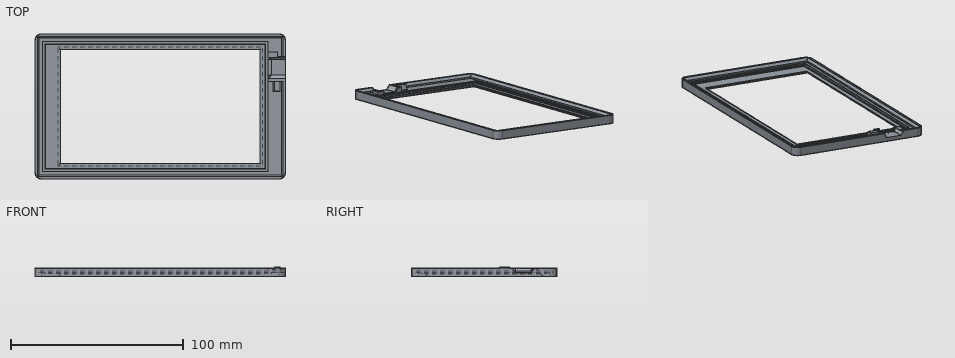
import cadquery as cq

length = 145.2
width = 84.2
wall_height = 5.0
corner_radius = 3.9
wall_thickness = 1.5
wall_foot = 2.5
slope_level = 3.3
floor_level = 2.5

seat_margin = 4.4
seat_right = 62.6
seat_level = 2.2
seat_rim = 1.5
recess_slope = 0.5
recess_level = 1.7
window_length = 115.6
window_width = 66.0
lip_thickness = 0.3

opening_front = 16.3
opening_back = 29.0
opening_slope = 1.9
opening_level = 2.3
strip_level = 1.7

rib_thickness = 1.7
stop_length = 5.2
stop_thickness = 2.5
stop_height = 4.0

latch_left = 65.4
latch_right = 69.3
latch_front = 8.5
latch_height = 5.5
latch_left_slope = 0.9
latch_front_slope = 0.5

right = length / 2
rib_front = opening_front - rib_thickness


def box(x_min, x_max, y_min, y_max, z_min, z_max):
    """Box given by its limits along each axis."""
    size = (x_max - x_min, y_max - y_min, z_max - z_min)
    return cq.Workplane("XY").box(*size, centered=False).translate((x_min, y_min, z_min))


def rectangle(x_min, x_max, y_min, y_max, z):
    """Closed rectangular wire at height z."""
    corners = [(x_min, y_min), (x_max, y_min), (x_max, y_max), (x_min, y_max)]
    return cq.Wire.makePolygon([cq.Vector(x, y, z) for x, y in corners], close=True)


def loft(lower, upper):
    """Solid with flat sloping sides between two rectangles."""
    return cq.Workplane(obj=cq.Solid.makeLoft([lower, upper], True))


def centred_rectangle(x_size, y_size, z):
    """Rectangle centred on the tray."""
    return rectangle(-x_size / 2, x_size / 2, -y_size / 2, y_size / 2, z)


def inset_rectangle(margin, z):
    """Rectangle a constant distance inside the tray outline."""
    return centred_rectangle(length - 2 * margin, width - 2 * margin, z)


def seat_rectangle(inset, z):
    """Rectangle a constant distance inside the display seat."""
    y = width / 2 - seat_margin - inset
    return rectangle(seat_margin + inset - length / 2, seat_right - inset, -y, y, z)


def tray():
    blank = cq.Workplane("XY").box(length, width, wall_height, centered=(True, True, False))
    blank = blank.edges("|Z").fillet(corner_radius)
    foot = loft(inset_rectangle(wall_foot, floor_level), inset_rectangle(wall_foot, slope_level))
    slope = loft(inset_rectangle(wall_foot, slope_level), inset_rectangle(wall_thickness, wall_height))
    return blank.cut(foot).cut(slope)


def display_seat():
    seat = loft(seat_rectangle(0, seat_level), seat_rectangle(0, floor_level))
    recess = loft(
        seat_rectangle(seat_rim + recess_slope, recess_level), seat_rectangle(seat_rim, seat_level)
    )
    window = cq.Workplane("XY").rect(window_length, window_width).extrude(wall_height)
    bevel = recess_level - lip_thickness
    flare = loft(
        centred_rectangle(window_length + 2 * bevel, window_width + 2 * bevel, 0),
        centred_rectangle(window_length, window_width, bevel),
    )
    return seat.union(recess).union(window).union(flare)


def ribs():
    """Front rib, back sill and the stop joined to the sill, before the opening is cut."""
    front_rib = box(seat_right, right, rib_front, opening_front + opening_slope, opening_level, wall_height)
    sill = box(seat_right, right, opening_back - opening_slope, opening_back, opening_level, stop_height)
    stop = box(
        seat_right,
        seat_right + stop_length,
        opening_back,
        opening_back + stop_thickness,
        opening_level,
        stop_height,
    )
    return front_rib.union(sill).union(stop)


def connector_opening():
    """Opening with sloping front and back, open on the right, and a lower strip along its left."""
    bed_left = seat_right + opening_slope
    bed_front = opening_front + opening_slope
    bed_back = opening_back - opening_slope
    opening = loft(
        rectangle(bed_left, right, bed_front, bed_back, opening_level),
        rectangle(seat_right, right, opening_front, opening_back, wall_height),
    )
    strip = box(seat_right, bed_left, bed_front, bed_back, strip_level, wall_height)
    return opening.union(strip)


def latch():
    return loft(
        rectangle(latch_left, latch_right, latch_front, rib_front, floor_level),
        rectangle(
            latch_left + latch_left_slope,
            latch_right,
            latch_front + latch_front_slope,
            rib_front,
            latch_height,
        ),
    )


result = tray().cut(display_seat()).union(ribs()).cut(connector_opening()).union(latch())